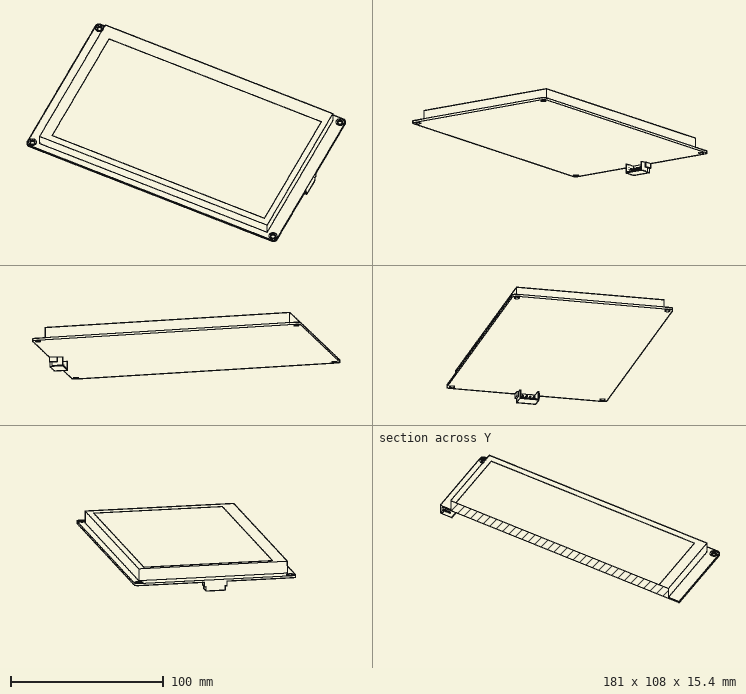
import cadquery as cq

board_length = 181.0
board_width = 108.0
board_thickness = 1.5
board_corner_radius = 2.4

hole_diameter = 3.3
pad_diameter = 5.2
pad_depth = 0.09
hole_inset = 3.3

overall_height = 15.4
connector_height = 6.0
display_length = 165.0
display_width = 99.5
display_height = overall_height - board_thickness - connector_height

window_depth = 0.09
window_left = 15.0
window_right = 12.0
window_front = 8.5
window_back = 13.4
window_length = board_length - window_left - window_right
window_width = board_width - window_front - window_back
window_x = (window_left - window_right) / 2
window_y = (window_front - window_back) / 2

connector_length = 8.7
connector_width = 12.9
connector_wall = 0.7
cavity_depth = connector_length - 2 * connector_wall

pin_count = 4
pin_pitch = 2.5
pin_size = 0.63
pin_drop = 3.3
pin_length = 5.5

tab_length = 5.2
tab_height = 3.0
tab_span = 15.2

board_end = board_length / 2
display_top = board_thickness + display_height
connector_start = board_end - connector_length
cavity_end = connector_start + cavity_depth


def box(length, width, height, x_start, y_centre, z_bottom):
    """Box that starts at x_start, is centred on y_centre and stands on z_bottom."""
    return (
        cq.Workplane("XY")
        .box(length, width, height, centered=(False, True, False))
        .translate((x_start, y_centre, z_bottom))
    )


def make_board():
    """Rounded board with a mounting hole and a shallow pad at each corner."""
    board = (
        box(board_length, board_width, board_thickness, -board_end, 0, 0)
        .edges("|Z")
        .fillet(board_corner_radius)
    )
    return (
        board.faces(">Z")
        .workplane()
        .rect(board_length - 2 * hole_inset, board_width - 2 * hole_inset, forConstruction=True)
        .vertices()
        .cboreHole(hole_diameter, pad_diameter, pad_depth)
    )


def make_display():
    """Display block with its shallow viewing window."""
    block = box(display_length, display_width, display_height, -display_length / 2, 0, board_thickness)
    window = box(
        window_length,
        window_width,
        window_depth,
        window_x - window_length / 2,
        window_y,
        display_top - window_depth,
    )
    return block.cut(window)


def make_connector():
    """Hollow housing closed above by the board, with pins and fixing tabs."""
    housing = box(connector_length, connector_width, connector_height, connector_start, 0, -connector_height)
    tabs = box(tab_length, tab_span, tab_height, board_end - tab_length, 0, -tab_height)
    cavity = box(
        cavity_depth,
        connector_width - 2 * connector_wall,
        connector_height - connector_wall,
        connector_start,
        0,
        connector_wall - connector_height,
    )
    connector = housing.union(tabs).cut(cavity)
    for index in range(pin_count):
        pin_y = (index - (pin_count - 1) / 2) * pin_pitch
        pin = box(
            pin_length + connector_wall,
            pin_size,
            pin_size,
            cavity_end - pin_length,
            pin_y,
            -pin_drop - pin_size / 2,
        )
        connector = connector.union(pin)
    return connector


result = make_board().union(make_display()).union(make_connector())